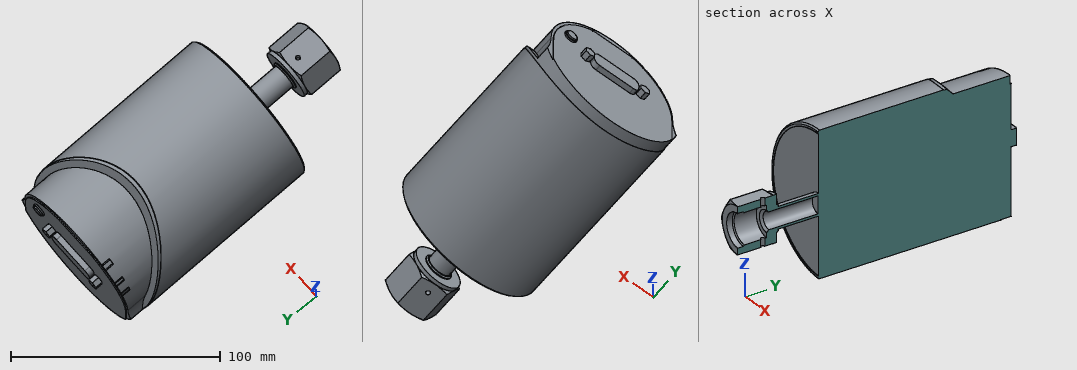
import cadquery as cq
import math


overall_length = 160.0
cutter_margin = 8.0

skin_diameter = 82.0
skin_radius = skin_diameter / 2
sleeve_radius = 40.8
core_radius = 37.1
core_length = 109.5
flare_top = 0.0
flare_bottom = -11.2
end_face_radius = 39.0
end_face_recess = 0.3
front_edge_chamfer = 0.8

skin_rear = 104.3
skin_arc_radius = 119.0
skin_setback = 1.5
arc_center_y = skin_rear - skin_arc_radius
arc_center_z = -skin_radius

window_heights = (31.2, 23.7, 17.3)
window_width = 1.6
window_length = 4.8
window_depth = 0.3

plate_thickness = 0.6
plate_half_width = 36.0
plate_arc_z = -1.6
plate_top = 32.3
plate_rear = core_length + plate_thickness
connector_z = 2.2
connector_width = 26.9
connector_height = 9.6
connector_corner = 3.2
connector_rear = 113.3
standoff_spacing = 33.5
standoff_flats = 5.1
button_x = 25.8
button_z = 11.8
button_base_diameter = 7.0
button_base_rear = 111.0
button_cap_diameter = 5.8
button_rear = 111.8

tube_radius = 6.4
tube_bore_radius = 4.8
bore_mouth_radius = 6.0
gland_radius = 7.7
gland_rear = -22.4
gland_chamfer = 0.6
collar_radius = 13.5
collar_rear = -23.5
nut_rear = -25.6
nut_front = -45.8
nut_flats = 26.7
nut_corner_radius = nut_flats / math.sqrt(3)
nut_face_radius = 13.3
nut_bevel = 1.0
nut_bore_radius = 8.8
nut_bore_floor = -29.3
nut_mouth_radius = 9.5
nut_mouth_depth = 3.2
vent_diameter = 2.2
vent_y = -31.4

standoff_rear = nut_front + overall_length


def sketch_at(y):
    """Workplane at the given Y whose local axes are X and Z; extrude toward +Y with negative lengths."""
    return cq.Workplane("XZ", origin=(0, y, 0))


def rod(radius, front, rear):
    """Solid cylinder along the gauge axis."""
    return sketch_at(front).circle(radius).extrude(front - rear)


def turned(points):
    """Solid turned about the gauge axis from (radius, y) points."""
    return cq.Workplane("XY").polyline(points).close().revolve(360, (0, 0, 0), (0, 1, 0))


def inside_arc(radius):
    """Block along X whose rear end is the curved housing outline."""
    half_size = skin_radius + cutter_margin

    def arc_y(z):
        return arc_center_y + math.sqrt(radius**2 - (z - arc_center_z) ** 2)

    return (
        cq.Workplane("YZ")
        .moveTo(-half_size, -half_size)
        .lineTo(arc_y(-half_size), -half_size)
        .threePointArc((arc_y(0), 0), (arc_y(half_size), half_size))
        .lineTo(-half_size, half_size)
        .close()
        .extrude(half_size, both=True)
    )


def make_relief():
    """Cutter around the core: round on top, with concave flares down to the full sleeve."""
    foot_x = math.sqrt(sleeve_radius**2 - flare_bottom**2)
    flare_step = foot_x - core_radius
    drop = flare_top - flare_bottom
    flare_radius = (flare_step**2 + drop**2) / (2 * flare_step)
    half_angle = math.asin(drop / flare_radius) / 2
    mid_x = core_radius + flare_radius * (1 - math.cos(half_angle))
    mid_z = flare_top - flare_radius * math.sin(half_angle)
    outside = skin_radius + cutter_margin
    return (
        sketch_at(0)
        .moveTo(-foot_x, flare_bottom)
        .threePointArc((-mid_x, mid_z), (-core_radius, flare_top))
        .threePointArc((0, core_radius), (core_radius, flare_top))
        .threePointArc((mid_x, mid_z), (foot_x, flare_bottom))
        .lineTo(outside, flare_bottom)
        .lineTo(outside, outside)
        .lineTo(-outside, outside)
        .lineTo(-outside, flare_bottom)
        .close()
        .extrude(-overall_length)
    )


def make_plate_envelope():
    """Outline of the rear plate: round shoulders, flat top, straight sides."""
    top_x = math.sqrt(plate_half_width**2 - (plate_top - plate_arc_z) ** 2)
    mid = plate_half_width * math.sqrt(0.5)
    return (
        sketch_at(core_length)
        .moveTo(-plate_half_width, plate_arc_z)
        .threePointArc((-mid, plate_arc_z + mid), (-top_x, plate_top))
        .lineTo(top_x, plate_top)
        .threePointArc((mid, plate_arc_z + mid), (plate_half_width, plate_arc_z))
        .lineTo(plate_half_width, -skin_radius)
        .lineTo(-plate_half_width, -skin_radius)
        .close()
        .extrude(-plate_thickness)
    )


def make_window(z):
    """Shallow cutter for one window on the -X side of the core."""
    surface_x = -math.sqrt(core_radius**2 - z**2)
    radial_floor = rod(core_radius - window_depth, 0, core_length)
    return (
        cq.Workplane("XY")
        .box(core_radius, window_length, window_width, centered=(True, False, True))
        .translate((surface_x, core_length - window_length, z))
        .cut(radial_floor)
    )


def make_housing():
    """Thin skin over a sleeve that is relieved to a core at the rear, closed by the rear plate."""
    skin = rod(skin_radius, 0, core_length).faces("<Y").chamfer(front_edge_chamfer)
    skin = skin.intersect(inside_arc(skin_arc_radius))
    relief = make_relief()
    sleeve = rod(sleeve_radius, front_edge_chamfer, core_length)
    sleeve = sleeve.cut(relief.cut(inside_arc(skin_arc_radius + skin_setback)))
    for z in window_heights:
        sleeve = sleeve.cut(make_window(z))
    plate = rod(sleeve_radius, core_length, plate_rear).cut(relief).intersect(make_plate_envelope())
    return skin.union(sleeve).union(plate).cut(rod(end_face_radius, 0, end_face_recess))


def make_rear_fittings():
    """Connector shell, two hexagonal standoffs and a push button."""
    shell = (
        sketch_at(core_length)
        .center(0, connector_z)
        .rect(connector_width, connector_height)
        .extrude(core_length - connector_rear)
        .edges("|Y")
        .fillet(connector_corner)
    )
    standoff = (
        sketch_at(core_length)
        .polygon(6, 2 * standoff_flats / math.sqrt(3))
        .extrude(core_length - standoff_rear)
        .rotate((0, 0, 0), (0, 1, 0), 90)
    )
    fittings = shell
    for side in (-1, 1):
        fittings = fittings.union(standoff.translate((side * standoff_spacing / 2, 0, connector_z)))
    button = rod(button_base_diameter / 2, core_length, button_base_rear)
    button = button.union(rod(button_cap_diameter / 2, core_length, button_rear))
    return fittings.union(button.translate((button_x, 0, button_z)))


def make_coupling():
    """Tube with its gland and the hexagonal coupling nut."""
    tube = rod(tube_radius, nut_rear, end_face_recess)
    gland = rod(gland_radius, nut_rear, gland_rear).faces(">Y").chamfer(gland_chamfer)
    collar = rod(collar_radius, nut_rear, collar_rear)
    bevel = turned([
        (0, nut_front),
        (nut_face_radius, nut_front),
        (nut_corner_radius, nut_front + nut_bevel),
        (nut_corner_radius, nut_rear - nut_bevel),
        (nut_face_radius, nut_rear),
        (0, nut_rear),
    ])
    nut = sketch_at(nut_front).polygon(6, 2 * nut_corner_radius).extrude(nut_front - nut_rear)
    nut = nut.intersect(bevel)
    mouth_step = nut_front + nut_mouth_depth
    mouth_cone_end = mouth_step + nut_mouth_radius - nut_bore_radius
    bore_cone_end = nut_bore_floor + bore_mouth_radius - tube_bore_radius
    bore = turned([
        (0, nut_front),
        (nut_mouth_radius, nut_front),
        (nut_mouth_radius, mouth_step),
        (nut_bore_radius, mouth_cone_end),
        (nut_bore_radius, nut_bore_floor),
        (bore_mouth_radius, nut_bore_floor),
        (tube_bore_radius, bore_cone_end),
        (tube_bore_radius, 0),
        (0, 0),
    ])
    vent = cq.Workplane("XY").center(0, vent_y).circle(vent_diameter / 2).extrude(nut_flats, both=True)
    return tube.union(gland).union(collar).union(nut).cut(bore).cut(vent)


result = make_housing().union(make_rear_fittings()).union(make_coupling())